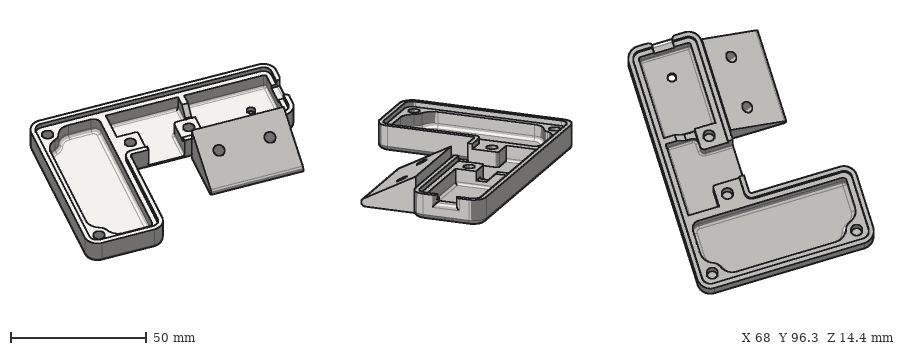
import cadquery as cq
import math

LENGTH = 96.3
ARM_LENGTH = 68.0
COLUMN_WIDTH = 28.1
ARM_WIDTH = 30.5
BODY_HEIGHT = 10.0
CORNER_RADIUS = 5.0
INNER_CORNER_RADIUS = 1.0
BOTTOM_RADIUS = 2.0
FLOOR = 2.0
WALL = 4.0

RIM_WIDTH = 1.8
RIM_DEPTH = 2.0
SEAT = BODY_HEIGHT - RIM_DEPTH

COLUMN_POCKET_FILLET = 1.0
UPPER_POCKET_BOTTOM = 60.5
UPPER_POCKET_TOP = 92.5
LOWER_POCKET_TOP = 58.1
LOWER_POCKET_BOTTOM = 29.7
GAP_BOTTOM = 37.8
GAP_TOP = 51.9
OVERRUN = 1.0
POST_LEFT = 16.0
UPPER_POST_ROUND = 1.4
LOWER_POST_ROUND = 1.0
LOWER_POCKET_ROUND = 1.9
RAMP_START = 8.3
RAMP_END = 11.9
RAMP_DROP = RAMP_END - RAMP_START

ARM_POCKET_TOP = 26.7
ARM_POCKET_FILLET = 1.5
ARM_POCKET_ROUND = 2.9
BOSS_RADIUS = 3.95
BOSS_BLEND = 5.5

SCREW_DIAMETER = 4.2
SCREW_DEPTH = 5.8
SCREW_INSET = 6.1
POST_SCREW_X = 20.3
POST_SCREWS_Y = (33.4, 56.4)
VENT_DIAMETER = 3.2
VENT_X = 14.2
VENT_Y = 83.1

NOTCH_LEFT = 10.2
NOTCH_RIGHT = 18.0
NOTCH_FLOOR = 6.7
NOTCH_ROUND = 1.4

WEDGE_TOP = 14.35
WEDGE_ANGLE = math.radians(28.5)
WEDGE_TIP_RADIUS = 1.6
WEDGE_START = 54.7
WEDGE_END = 90.9
WEDGE_HOLE_X = 36.9
WEDGE_HOLES_Y = (62.3, 82.3)


def block(x_range, y_range, z_range):
    """Box between the given limits."""
    size = [high - low for low, high in (x_range, y_range, z_range)]
    corner = (x_range[0], y_range[0], z_range[0])
    return cq.Workplane("XY").box(*size, centered=False).translate(corner)


def l_prism(inset, bottom, top):
    """L-shaped prism with rounded corners, its outline moved inward by the inset."""
    radius = CORNER_RADIUS - inset
    heights = (bottom, top)
    column = block((inset, COLUMN_WIDTH - inset), (inset, LENGTH - inset), heights)
    arm = block((inset, ARM_LENGTH - inset), (inset, ARM_WIDTH - inset), heights)
    prism = column.edges("|Z").fillet(radius).union(arm.edges("|Z").fillet(radius))
    inner_corner = (COLUMN_WIDTH - inset, ARM_WIDTH - inset, (bottom + top) / 2)
    return prism.edges(cq.NearestToPointSelector(inner_corner)).fillet(INNER_CORNER_RADIUS + inset)


def make_body():
    return l_prism(0, 0, BODY_HEIGHT).faces("<Z").edges().fillet(BOTTOM_RADIUS)


def make_rim_recess():
    return l_prism(RIM_WIDTH, SEAT, BODY_HEIGHT)


def make_upper_pocket():
    y_range = (UPPER_POCKET_BOTTOM, UPPER_POCKET_TOP)
    pocket = block((WALL, COLUMN_WIDTH - WALL), y_range, (FLOOR, BODY_HEIGHT))
    return pocket.edges("<Z or (|Z and >Y)").fillet(COLUMN_POCKET_FILLET)


def make_lower_post():
    y_range = (LOWER_POCKET_BOTTOM, GAP_BOTTOM)
    post = block((POST_LEFT, COLUMN_WIDTH + OVERRUN), y_range, (FLOOR, BODY_HEIGHT))
    return post.edges("|Z and <X and >Y").fillet(LOWER_POST_ROUND)


def make_lower_pocket():
    right = COLUMN_WIDTH + OVERRUN
    pocket = (
        cq.Workplane("XY", origin=(0, 0, FLOOR))
        .moveTo(WALL, LOWER_POCKET_BOTTOM)
        .lineTo(right, LOWER_POCKET_BOTTOM)
        .lineTo(right, GAP_TOP)
        .lineTo(POST_LEFT + UPPER_POST_ROUND, GAP_TOP)
        .radiusArc((POST_LEFT, GAP_TOP + UPPER_POST_ROUND), UPPER_POST_ROUND)
        .lineTo(POST_LEFT, LOWER_POCKET_TOP - LOWER_POCKET_ROUND)
        .radiusArc((POST_LEFT - LOWER_POCKET_ROUND, LOWER_POCKET_TOP), -LOWER_POCKET_ROUND)
        .lineTo(WALL, LOWER_POCKET_TOP)
        .close()
        .extrude(BODY_HEIGHT - FLOOR)
    )
    floor_edges = pocket.faces("<Z").edges("not >X")
    return floor_edges.fillet(COLUMN_POCKET_FILLET).cut(make_lower_post())


def make_wall_ramp():
    """Material removed to let the wall between the column pockets slope down to the post."""
    low = SEAT - RAMP_DROP
    return (
        cq.Workplane("XZ", origin=(0, UPPER_POCKET_BOTTOM, 0))
        .moveTo(RAMP_START, SEAT)
        .lineTo(RAMP_END, low)
        .lineTo(POST_LEFT, low)
        .lineTo(POST_LEFT, SEAT)
        .close()
        .extrude(UPPER_POCKET_BOTTOM - LOWER_POCKET_TOP + LOWER_POCKET_ROUND)
    )


def make_arm_pocket():
    right = ARM_LENGTH - WALL
    screw_right = ARM_LENGTH - SCREW_INSET
    across = WALL + BOSS_BLEND - SCREW_INSET
    reach = BOSS_RADIUS + BOSS_BLEND
    along = math.sqrt(reach**2 - across**2)
    near = BOSS_RADIUS * across / reach
    far = BOSS_RADIUS * along / reach
    pocket = (
        cq.Workplane("XY", origin=(0, 0, FLOOR))
        .moveTo(WALL, SCREW_INSET + along)
        .radiusArc((SCREW_INSET + near, SCREW_INSET + far), -BOSS_BLEND)
        .radiusArc((SCREW_INSET + far, SCREW_INSET + near), BOSS_RADIUS)
        .radiusArc((SCREW_INSET + along, WALL), -BOSS_BLEND)
        .lineTo(screw_right - along, WALL)
        .radiusArc((screw_right - far, SCREW_INSET + near), -BOSS_BLEND)
        .radiusArc((screw_right - near, SCREW_INSET + far), BOSS_RADIUS)
        .radiusArc((right, SCREW_INSET + along), -BOSS_BLEND)
        .lineTo(right, ARM_POCKET_TOP)
        .lineTo(WALL + ARM_POCKET_ROUND, ARM_POCKET_TOP)
        .radiusArc((WALL, ARM_POCKET_TOP - ARM_POCKET_ROUND), -ARM_POCKET_ROUND)
        .close()
        .extrude(BODY_HEIGHT - FLOOR)
    )
    return pocket.edges("<Z or (|Z and >X and >Y)").fillet(ARM_POCKET_FILLET)


def cut_notch(tray):
    """Cut the cable notch and round its mouth on the outer face."""
    sides = (NOTCH_LEFT, NOTCH_RIGHT)
    tray = tray.cut(block(sides, (UPPER_POCKET_TOP, LENGTH), (NOTCH_FLOOR, BODY_HEIGHT)))
    margin = 0.1
    mouth = cq.selectors.BoxSelector(
        (NOTCH_LEFT - margin, LENGTH - margin, NOTCH_FLOOR - margin),
        (NOTCH_RIGHT + margin, LENGTH + margin, BODY_HEIGHT - margin),
    )
    return tray.edges(mouth).fillet(NOTCH_ROUND)


def make_wedge():
    tip = COLUMN_WIDTH + WEDGE_TOP / math.tan(WEDGE_ANGLE)
    wedge = (
        cq.Workplane("XZ", origin=(0, WEDGE_END, 0))
        .moveTo(COLUMN_WIDTH, 0)
        .lineTo(tip, 0)
        .lineTo(COLUMN_WIDTH, WEDGE_TOP)
        .close()
        .extrude(WEDGE_END - WEDGE_START)
    )
    return wedge.edges(">X").fillet(WEDGE_TIP_RADIUS)


def cylinder(x, y, bottom, top, diameter):
    return cq.Workplane("XY", origin=(x, y, bottom)).circle(diameter / 2).extrude(top - bottom)


def make_wedge_hole(y):
    """Through hole square to the sloped face."""
    surface_z = WEDGE_TOP - (WEDGE_HOLE_X - COLUMN_WIDTH) * math.tan(WEDGE_ANGLE)
    axis = cq.Vector(math.sin(WEDGE_ANGLE), 0, math.cos(WEDGE_ANGLE))
    start = cq.Vector(WEDGE_HOLE_X, y, surface_z) + axis * SCREW_DIAMETER
    return cq.Solid.makeCylinder(SCREW_DIAMETER / 2, 2 * WEDGE_TOP, start, -axis)


result = make_body().union(make_wedge())
result = result.cut(make_rim_recess())
result = result.cut(make_upper_pocket())
result = result.cut(make_lower_pocket())
result = result.cut(make_wall_ramp())
result = result.cut(make_arm_pocket())
result = cut_notch(result)

screws = [(POST_SCREW_X, y) for y in POST_SCREWS_Y]
screws += [(x, SCREW_INSET) for x in (SCREW_INSET, ARM_LENGTH - SCREW_INSET)]
for x, y in screws:
    result = result.cut(cylinder(x, y, SEAT - SCREW_DEPTH, SEAT, SCREW_DIAMETER))

result = result.cut(cylinder(VENT_X, VENT_Y, 0, SEAT, VENT_DIAMETER))

for y in WEDGE_HOLES_Y:
    result = result.cut(make_wedge_hole(y))